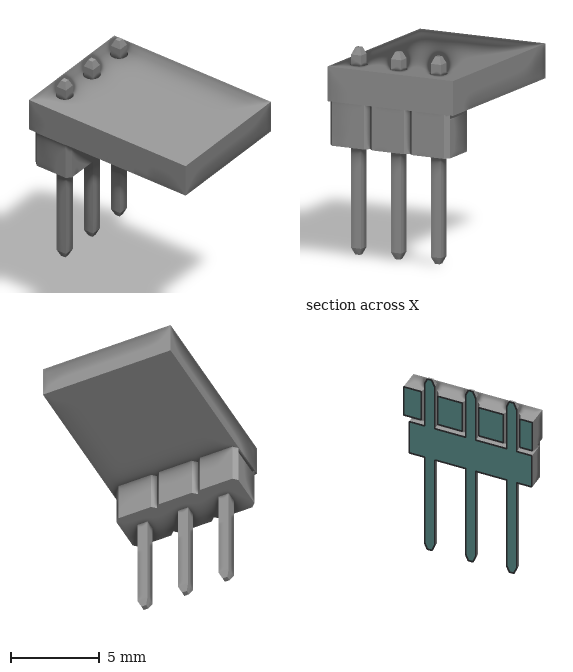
import cadquery as cq

board_length = 11.0
board_width = 8.0
board_thickness = 2.0
hole_diameter = 1.0

pin_count = 3
pitch = 2.54
pin_inset = 1.3
pin_x = pin_inset
pin_positions = [(pin_x, board_width - pin_inset - i * pitch) for i in range(pin_count)]

pin_length = 11.94
pin_side = 0.65
tip_side = 0.3
tip_height = 0.4
pin_protrusion = 1.0
pin_top = board_thickness + pin_protrusion
pin_bottom = pin_top - pin_length

housing_height = 2.54
cell_chamfer = 0.25
channel_depth = 0.32
web_thickness = 0.01
channel_width = pitch - 2 * (cell_chamfer + web_thickness)


def make_board():
    board = cq.Workplane("XY").box(board_length, board_width, board_thickness, centered=False)
    holes = (
        cq.Workplane("XY")
        .pushPoints(pin_positions)
        .circle(hole_diameter / 2)
        .extrude(board_thickness)
    )
    return board.cut(holes)


def make_cell(x, y):
    return (
        cq.Workplane("XY", origin=(x, y, -housing_height))
        .rect(pitch, pitch)
        .extrude(housing_height)
        .edges("|Z")
        .chamfer(cell_chamfer)
    )


def make_housing():
    housing = cq.Workplane("XY")
    for x, y in pin_positions:
        housing = housing.add(make_cell(x, y))
    housing = housing.combine()
    channel = (
        cq.Workplane("XY", origin=(pin_x, board_width / 2, -channel_depth))
        .rect(channel_width, board_width)
        .extrude(channel_depth)
    )
    return housing.cut(channel)


def make_tip(x, y, base_z, taper_height):
    """Truncated pyramid; a negative taper height points it downward."""
    return (
        cq.Workplane("XY", origin=(x, y, base_z))
        .rect(pin_side, pin_side)
        .workplane(offset=taper_height)
        .rect(tip_side, tip_side)
        .loft(ruled=True)
    )


def make_pin(x, y):
    shaft = (
        cq.Workplane("XY", origin=(x, y, pin_bottom + tip_height))
        .rect(pin_side, pin_side)
        .extrude(pin_length - 2 * tip_height)
    )
    upper_tip = make_tip(x, y, pin_top - tip_height, tip_height)
    lower_tip = make_tip(x, y, pin_bottom + tip_height, -tip_height)
    return shaft.union(upper_tip).union(lower_tip)


result = make_board().union(make_housing())
for x, y in pin_positions:
    result = result.union(make_pin(x, y))